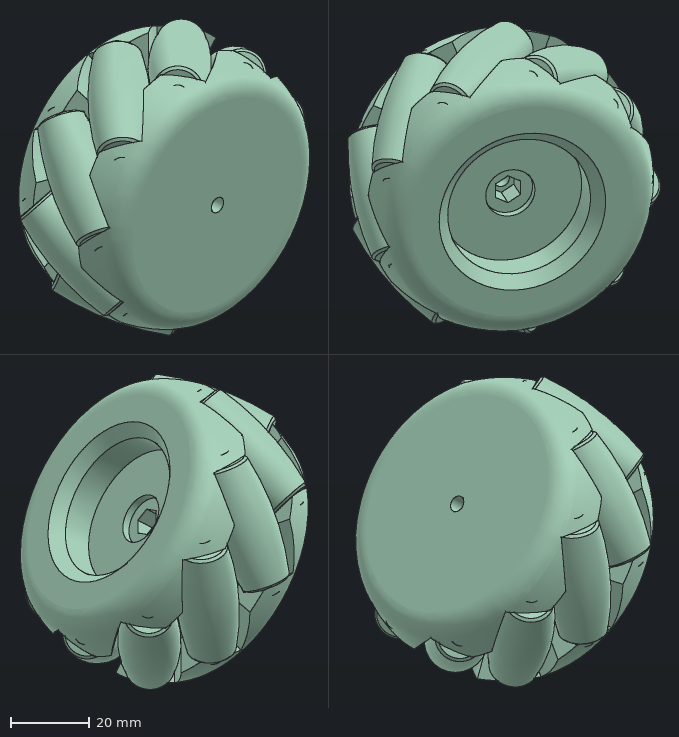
import cadquery as cq
import math

wheel_radius = 39.2
hub_width = 39.8
hub_sphere_radius = 38.8
hub_edge_radius = 6.4

roller_count = 9
roller_tilt = 45.0
roller_mid_radius = 8.1
roller_end_radius = 6.2
roller_length = 33.4
roller_chamfer = 0.6
axle_radius = 2.5
axle_length = 39.1
first_roller_angle = -90.0
roller_offset = 31.1

pocket_gap = 0.1
pocket_draft = 7.5
pocket_end_gap = 0.1
groove_width = 16.95
core_radius = 27.5

recess_radius = 18.9
recess_depth = 11.45
recess_chamfer = 3.1
counterbore_radius = 6.5
counterbore_depth = 2.2
hex_across_flats = 6.6
hex_depth = 6.3
bore_radius = 2.1

half_width = hub_width / 2
recess_floor_x = recess_depth - half_width
counterbore_floor_x = recess_floor_x + counterbore_depth


def barrel(length, mid_radius, end_radius):
    """Barrel around the X axis, centred on the origin."""
    half_length = length / 2
    return (
        cq.Workplane("XY")
        .moveTo(-half_length, 0)
        .lineTo(-half_length, end_radius)
        .threePointArc((0, mid_radius), (half_length, end_radius))
        .lineTo(half_length, 0)
        .close()
        .revolve(360, (0, 0, 0), (1, 0, 0))
    )


def x_cylinder(radius, start_x, end_x):
    return cq.Workplane("YZ").workplane(offset=start_x).circle(radius).extrude(end_x - start_x)


def axle():
    return x_cylinder(axle_radius, -axle_length / 2, axle_length / 2)


def place(body, index):
    """Tilt a body lying on the X axis and move it to its roller station on the rim."""
    station_angle = first_roller_angle + index * 360 / roller_count
    return (
        body.rotate((0, 0, 0), (0, 0, 1), -roller_tilt)
        .translate((0, 0, roller_offset))
        .rotate((0, 0, 0), (1, 0, 0), station_angle)
    )


def make_roller(index):
    body = barrel(roller_length, roller_mid_radius, roller_end_radius)
    body = body.faces("<X or >X").chamfer(roller_chamfer)
    return place(body.union(axle()), index)


def hub_blank():
    """Sphere cut to the hub width, its two rims rounded by arcs tangent to sphere and side face."""
    centre_x = half_width - hub_edge_radius
    centre_r = math.sqrt((hub_sphere_radius - hub_edge_radius) ** 2 - centre_x**2)
    tangent_scale = hub_sphere_radius / (hub_sphere_radius - hub_edge_radius)
    tangent_x = centre_x * tangent_scale
    tangent_r = centre_r * tangent_scale
    bisector = math.atan2(centre_r, centre_x) / 2
    mid_x = centre_x + hub_edge_radius * math.cos(bisector)
    mid_r = centre_r + hub_edge_radius * math.sin(bisector)
    return (
        cq.Workplane("XY")
        .moveTo(-half_width, 0)
        .lineTo(-half_width, centre_r)
        .threePointArc((-mid_x, mid_r), (-tangent_x, tangent_r))
        .threePointArc((0, hub_sphere_radius), (tangent_x, tangent_r))
        .threePointArc((mid_x, mid_r), (half_width, centre_r))
        .lineTo(half_width, 0)
        .close()
        .revolve(360, (0, 0, 0), (1, 0, 0))
    )


def groove():
    half_groove = groove_width / 2
    ring = x_cylinder(wheel_radius + 0.8, -half_groove, half_groove)
    return ring.cut(x_cylinder(core_radius, -half_groove, half_groove))


def centre_recess():
    recess = x_cylinder(recess_radius, -half_width, recess_floor_x)
    mouth = cq.Workplane("XY").polyline([
        (-half_width, 0),
        (-half_width, recess_radius + recess_chamfer),
        (recess_chamfer - half_width, recess_radius),
        (recess_chamfer - half_width, 0),
    ]).close().revolve(360, (0, 0, 0), (1, 0, 0))
    counterbore = x_cylinder(counterbore_radius, recess_floor_x, counterbore_floor_x)
    return recess.union(mouth).union(counterbore)


def hex_bore():
    across_corners = hex_across_flats / math.cos(math.pi / 6)
    hexagon = (
        cq.Workplane("YZ")
        .workplane(offset=counterbore_floor_x)
        .polygon(6, across_corners)
        .extrude(hex_depth)
        .rotate((0, 0, 0), (1, 0, 0), 90)
    )
    return hexagon.union(x_cylinder(bore_radius, -half_width, half_width))


def make_pocket():
    """Clearance for one roller, flared outward so the roller drops in, plus its axle hole."""
    half_length = roller_length / 2 + pocket_end_gap
    mid_radius = roller_mid_radius + pocket_gap
    end_radius = roller_end_radius + pocket_gap
    mouth_height = wheel_radius - roller_offset
    opening = (
        cq.Workplane("XY")
        .moveTo(-half_length, -end_radius)
        .threePointArc((0, -mid_radius), (half_length, -end_radius))
        .lineTo(half_length, end_radius)
        .threePointArc((0, mid_radius), (-half_length, end_radius))
        .close()
        .extrude(mouth_height, taper=-pocket_draft)
    )
    square_ends = cq.Workplane("XY").box(2 * half_length, wheel_radius, 2 * mouth_height)
    clearance = barrel(2 * half_length, mid_radius, end_radius)
    return clearance.union(opening.intersect(square_ends)).union(axle())


def make_hub():
    hub = hub_blank().cut(groove()).cut(centre_recess()).cut(hex_bore())
    pocket = make_pocket()
    for index in range(roller_count):
        hub = hub.cut(place(pocket, index))
    return hub


hub = make_hub()
rollers = [make_roller(index) for index in range(roller_count)]

result = cq.Compound.makeCompound([hub.val(), *[roller.val() for roller in rollers]])